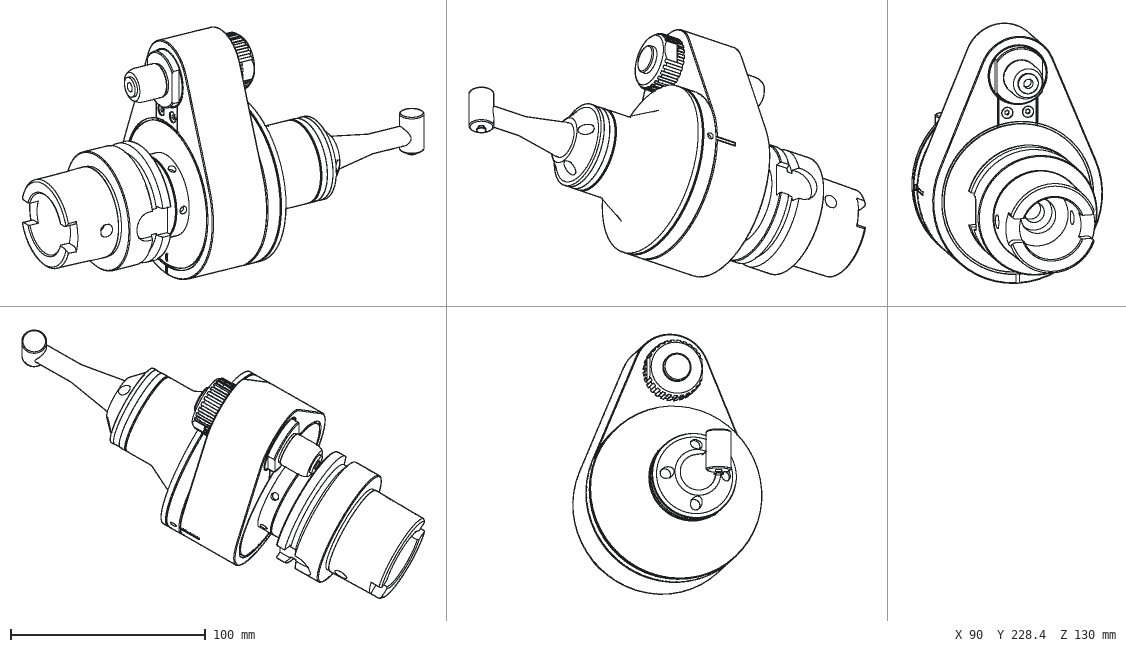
import cadquery as cq
import math


tail_y = -32.0
flange_rear_y = 26.0
case_front_y = 42.0
case_rear_y = 75.0
rim_rear_y = 86.3
nose_y = 139.2
head_y = 190.0

flange_radius = 31.5
groove_radius = 27.4
collar_radius = 22.0
collar_line_y = 34.2
line_width = 0.7
line_depth = 0.3
edge_chamfer = 0.5
wrench_hole_diameter = 4.0
wrench_hole_depth = 3.0
wrench_hole_count = 6
wrench_hole_y = 38.5
key_width = 18.0
narrow_key_width = 16.0
key_end_y = 4.6
key_flat_x = 26.5

taper_radius = 24.0
taper_end_radius = 23.5
taper_relief_length = 1.8
taper_relief_depth = 0.25
taper_end_chamfer = 1.1
mouth_radius = 17.0
mouth_chamfer = 0.7
straight_bore_depth = 12.5
floor_radius = 15.8
bore_bottom_y = -1.0
pocket_radius = 9.2
pocket_depth = 8.0
drill_radius = 5.2
drill_depth = 8.0
drill_point_height = 3.0
side_hole_diameter = 7.0
side_hole_y = -9.0
drive_slot_width = 12.4
drive_slot_depth = 5.8
drive_slot_flare = 2.4
drive_slot_flare_x = 19.6

case_radius = 45.0
arm_radius = 20.0
arm_height = 65.0
disc_radius = 39.0
disc_gap = 1.2
disc_gap_depth = 0.8
mark_width = 1.8
mark_depth = 0.6
side_mark_length = 11.7
disc_mark_inner = 33.2
disc_mark_outer = 37.5
rim_line_y = 83.2
rim_hole_diameter = 3.3
rim_hole_depth = 2.0
rim_hole_y = 78.8

body_radius = 22.0
body_step_y = 130.9
nose_radius = 12.0
nose_cone_radius = 20.0
body_line_y = 121.8
band_start_y = 125.5
band_end_y = 128.9
band_depth = 0.15
blend_start_y = 107.6
blend_end_y = 105.5
cone_angle = math.radians(26.5)
cone_foot_y = 89.0
foot_fillet = (cone_foot_y - rim_rear_y) / (1 - math.sin(cone_angle))
nose_hole_count = 4
nose_hole_diameter = 6.0
nose_hole_offset = 15.4
nose_hole_end_y = 130.0
output_root_radius = 9.25
output_tip_radius = 5.25
output_root_y = 140.4
output_taper_y = 164.8

cutter_head_radius = 6.4
cutter_head_top = 11.7
cutter_head_bottom = -8.7
cutter_head_chamfer = 0.6
stub_neck_radius = 1.65
stub_radius = 2.4
stub_rim_height = 0.8
stub_bottom = -10.8

block_radius = 15.0
block_flat_x = 12.0
block_front_y = 37.9
block_chamfer = 0.6
block_seat_depth = 0.5
block_seat_radius = 15.6
pin_radius = 9.0
pin_neck_radius = 8.5
pin_neck_length = 1.3
pin_shoulder_y = 25.4
pin_end_y = 21.1
pin_tip_radius = 5.25
pin_tip_y = 19.7
pin_nose_radius = 7.6
pin_hole_diameter = 4.8
pin_hole_depth = 4.0
plate_width = 20.4
plate_gap = 0.7
plate_gap_depth = 1.0
plate_screw_z = 45.1
plate_screw_x = 5.5
screw_head_diameter = 5.8
screw_socket_diameter = 2.5
screw_recess_depth = 0.6
screw_socket_depth = 1.5

knob_end_y = 86.9
knob_bevel_y = 84.6
knob_bevel_radius = 13.3
knob_cap_radius = 7.2
knob_cap_y = 89.6
knob_cap_chamfer = 0.6
knob_tooth_count = 28
knob_groove_width = 1.7
knob_groove_depth = 0.7
knob_flat_x = 13.7
knob_flat_y = 78.9
knob_flat_width = 13.5


def disc(radius, start_y, end_y, x=0.0, z=0.0):
    """Cylinder parallel to Y between two stations."""
    plane = cq.Plane(origin=(x, start_y, z), xDir=(1, 0, 0), normal=(0, 1, 0))
    return cq.Workplane(plane).circle(radius).extrude(end_y - start_y)


def tube(outer, inner, start_y, end_y):
    return disc(outer, start_y, end_y).cut(disc(inner, start_y, end_y))


def box(x_range, y_range, z_range):
    size = [end - start for start, end in (x_range, y_range, z_range)]
    middle = [(end + start) / 2 for start, end in (x_range, y_range, z_range)]
    return cq.Workplane("XY").box(*size).translate(tuple(middle))


def revolve(points):
    """Turned solid about Y from (radius, y) points."""
    return cq.Workplane("XY").polyline(points).close().revolve(360, (0, 0), (0, 1))


def turned_line(radius, middle_y):
    """Shallow ring to cut around a cylinder."""
    half = line_width / 2
    return tube(radius + 1, radius - line_depth, middle_y - half, middle_y + half)


def radial_hole(diameter, depth, y, surface_radius, angle):
    """Hole from the -X side toward the axis, turned about Y."""
    hole = (
        cq.Workplane(cq.Plane(origin=(-surface_radius - 1, y, 0), xDir=(0, 1, 0), normal=(1, 0, 0)))
        .circle(diameter / 2)
        .extrude(depth + 1)
    )
    return hole.rotate((0, 0, 0), (0, 1, 0), angle)


def shank_blank():
    groove_rear_top, groove_rear_bottom = 20.9, 19.4
    groove_front_bottom, groove_front_top = 16.6, 14.7
    relief_radius = taper_radius - taper_relief_depth
    return revolve([
        (0, tail_y),
        (taper_end_radius - taper_end_chamfer, tail_y),
        (taper_end_radius, tail_y + taper_end_chamfer),
        (taper_radius, -taper_relief_length),
        (relief_radius, -taper_relief_length),
        (relief_radius, 0),
        (flange_radius - edge_chamfer, 0),
        (flange_radius, edge_chamfer),
        (flange_radius, groove_front_top),
        (groove_radius, groove_front_bottom),
        (groove_radius, groove_rear_bottom),
        (flange_radius, groove_rear_top),
        (flange_radius, flange_rear_y - edge_chamfer),
        (flange_radius - edge_chamfer, flange_rear_y),
        (collar_radius, flange_rear_y),
        (collar_radius, case_front_y),
        (0, case_front_y),
    ])


def shank_bore():
    bore_radius = mouth_radius - mouth_chamfer
    pocket_end_y = bore_bottom_y + pocket_depth
    drill_end_y = pocket_end_y + drill_depth
    return revolve([
        (0, tail_y),
        (mouth_radius, tail_y),
        (bore_radius, tail_y + mouth_chamfer),
        (bore_radius, tail_y + straight_bore_depth),
        (floor_radius, bore_bottom_y),
        (pocket_radius, bore_bottom_y),
        (pocket_radius, pocket_end_y),
        (drill_radius, pocket_end_y),
        (drill_radius, drill_end_y),
        (0, drill_end_y + drill_point_height),
    ])


def drive_slots():
    """Slot across the open end, its walls rounded outward at the taper surface."""
    half = drive_slot_width / 2
    flare_x = drive_slot_flare_x + drive_slot_flare
    flare_half = half + drive_slot_flare
    outer_x = taper_radius + 2
    middle_x = drive_slot_flare_x + drive_slot_flare * math.sqrt(0.5)
    middle_half = half + drive_slot_flare * (1 - math.sqrt(0.5))
    plane = cq.Plane(origin=(0, tail_y, 0), xDir=(1, 0, 0), normal=(0, 1, 0))
    slot = (
        cq.Workplane(plane)
        .moveTo(0, -half)
        .lineTo(drive_slot_flare_x, -half)
        .threePointArc((middle_x, -middle_half), (flare_x, -flare_half))
        .lineTo(outer_x, -flare_half)
        .lineTo(outer_x, flare_half)
        .lineTo(flare_x, flare_half)
        .threePointArc((middle_x, middle_half), (drive_slot_flare_x, half))
        .lineTo(0, half)
        .close()
        .extrude(drive_slot_depth)
    )
    return slot.union(slot.mirror("YZ"))


def key_pocket(width):
    """Round-ended flat on the +X side of the flange."""
    half = width / 2
    arc_y = key_end_y + half
    pocket = box((key_flat_x, flange_radius + 1), (arc_y, flange_rear_y), (-half, half))
    round_end = (
        cq.Workplane(cq.Plane(origin=(key_flat_x, arc_y, 0), xDir=(0, 1, 0), normal=(1, 0, 0)))
        .circle(half)
        .extrude(flange_radius + 1 - key_flat_x)
    )
    return pocket.union(round_end)


def make_shank():
    side_hole = (
        cq.Workplane("YZ")
        .center(side_hole_y, 0)
        .circle(side_hole_diameter / 2)
        .extrude(taper_radius + 1, both=True)
    )
    shank = shank_blank().cut(shank_bore()).cut(drive_slots()).cut(side_hole)
    shank = shank.cut(key_pocket(narrow_key_width)).cut(key_pocket(key_width).mirror("YZ"))
    shank = shank.cut(turned_line(collar_radius, collar_line_y))
    for index in range(wrench_hole_count):
        angle = index * 360 / wrench_hole_count
        shank = shank.cut(
            radial_hole(wrench_hole_diameter, wrench_hole_depth, wrench_hole_y, collar_radius, angle)
        )
    return shank


def case_blank():
    """Teardrop case: two circles joined by their outer tangents."""
    lean = (case_radius - arm_radius) / arm_height
    spread = math.sqrt(1 - lean ** 2)
    low_x, low_z = case_radius * spread, case_radius * lean
    high_x, high_z = arm_radius * spread, arm_height + arm_radius * lean
    plane = cq.Plane(origin=(0, case_rear_y, 0), xDir=(1, 0, 0), normal=(0, -1, 0))
    return (
        cq.Workplane(plane)
        .moveTo(low_x, low_z)
        .lineTo(high_x, high_z)
        .threePointArc((0, arm_height + arm_radius), (-high_x, high_z))
        .lineTo(-low_x, low_z)
        .threePointArc((0, -case_radius), (low_x, low_z))
        .close()
        .extrude(case_rear_y - case_front_y)
        .faces("<Y or >Y")
        .chamfer(edge_chamfer)
    )


def head_blank():
    """Rim, flared body and nose, turned about the spindle axis."""
    blend_radius = body_radius + (blend_start_y - blend_end_y) * math.tan(cone_angle / 2)
    foot_radius = blend_radius + (blend_end_y - cone_foot_y) * math.tan(cone_angle)
    flare_radius = foot_radius + foot_fillet * math.cos(cone_angle)
    cone_rise = nose_cone_radius - nose_radius
    return (
        cq.Workplane("XY")
        .moveTo(0, case_rear_y)
        .lineTo(case_radius - edge_chamfer, case_rear_y)
        .lineTo(case_radius, case_rear_y + edge_chamfer)
        .lineTo(case_radius, rim_rear_y)
        .lineTo(flare_radius, rim_rear_y)
        .tangentArcPoint((foot_radius, cone_foot_y), relative=False)
        .lineTo(blend_radius, blend_end_y)
        .tangentArcPoint((body_radius, blend_start_y), relative=False)
        .lineTo(body_radius, body_step_y)
        .lineTo(nose_cone_radius, nose_y - cone_rise)
        .lineTo(nose_radius, nose_y)
        .lineTo(0, nose_y)
        .close()
        .revolve(360, (0, 0), (0, 1))
    )


def output_arm():
    """Tapered arm that carries the cutter head."""
    return revolve([
        (0, nose_y),
        (output_root_radius, nose_y),
        (output_root_radius, output_root_y),
        (output_tip_radius, output_taper_y),
        (output_tip_radius, head_y),
        (0, head_y),
    ])


def cutter_head():
    def cylinder(radius, bottom, top):
        return (
            cq.Workplane("XY", origin=(0, head_y, bottom))
            .circle(radius)
            .extrude(top - bottom)
        )

    head = cylinder(cutter_head_radius, cutter_head_bottom, cutter_head_top)
    head = head.faces("<Z or >Z").chamfer(cutter_head_chamfer)
    neck = cylinder(stub_neck_radius, stub_bottom, cutter_head_bottom)
    rim = cylinder(stub_radius, stub_bottom, stub_bottom + stub_rim_height)
    return head.union(neck).union(rim)


def nose_holes():
    """Holes parallel to the axis, breaking out of the nose cone."""
    holes = cq.Workplane("XY")
    for index in range(nose_hole_count):
        angle = index * 2 * math.pi / nose_hole_count
        x = nose_hole_offset * math.cos(angle)
        z = nose_hole_offset * math.sin(angle)
        holes = holes.add(disc(nose_hole_diameter / 2, nose_hole_end_y, nose_y + 1, x, z))
    return holes.combine()


def index_marks():
    """Alignment grooves on the case side, the case front and the front disc."""
    half = mark_width / 2
    side = box(
        (-case_radius - 1, -case_radius + mark_depth),
        (case_rear_y - side_mark_length, case_rear_y),
        (-half, half),
    )
    front_range = (case_front_y, case_front_y + mark_depth)
    front = box((-half, half), front_range, (-case_radius - 1, -disc_radius - disc_gap / 2))
    on_disc = box((-half, half), front_range, (half - disc_mark_outer, -disc_mark_inner - half))
    for z in (half - disc_mark_outer, -disc_mark_inner - half):
        on_disc = on_disc.union(disc(half, *front_range, z=z))
    return side.union(front).union(on_disc)


def locating_pin():
    """Flat-sided block on the case front with the pin standing out of it."""
    block = disc(block_radius, block_front_y, case_front_y + block_seat_depth, z=arm_height)
    block = block.faces("<Y").chamfer(block_chamfer)
    flat = box(
        (block_flat_x, block_radius + 1),
        (block_front_y, case_front_y),
        (arm_height - block_radius, arm_height + block_radius),
    )
    block = block.cut(flat).cut(flat.mirror("YZ"))
    neck_y = block_front_y - pin_neck_length
    pin = (
        cq.Workplane("XY")
        .moveTo(0, block_front_y)
        .lineTo(pin_neck_radius, block_front_y)
        .lineTo(pin_neck_radius, neck_y)
        .lineTo(pin_radius, neck_y)
        .lineTo(pin_radius, pin_shoulder_y)
        .tangentArcPoint((pin_nose_radius, pin_end_y), relative=False)
        .lineTo(pin_tip_radius, pin_end_y)
        .lineTo(pin_tip_radius, pin_tip_y)
        .lineTo(0, pin_tip_y)
        .close()
        .revolve(360, (0, 0), (0, 1))
        .translate((0, 0, arm_height))
    )
    pin = pin.cut(disc(pin_hole_diameter / 2, pin_tip_y, pin_tip_y + pin_hole_depth, z=arm_height))
    return block.union(pin)


def knob():
    """Knurled knob behind the case, with a flat on each side and a round cap."""
    body = revolve([
        (0, case_rear_y),
        (block_radius, case_rear_y),
        (block_radius, knob_bevel_y),
        (knob_bevel_radius, knob_end_y),
        (knob_cap_radius, knob_end_y),
        (knob_cap_radius, knob_cap_y - knob_cap_chamfer),
        (knob_cap_radius - knob_cap_chamfer, knob_cap_y),
        (0, knob_cap_y),
    ])
    half_groove = knob_groove_width / 2
    groove = box(
        (block_radius - knob_groove_depth, block_radius + 1),
        (case_rear_y, knob_end_y),
        (-half_groove, half_groove),
    )
    for index in range(knob_tooth_count):
        body = body.cut(groove.rotate((0, 0, 0), (0, 1, 0), index * 360 / knob_tooth_count))
    half_flat = knob_flat_width / 2
    flat = box((knob_flat_x, block_radius + 1), (knob_flat_y, knob_end_y), (-half_flat, half_flat))
    body = body.cut(flat).cut(flat.mirror("YZ"))
    return body.translate((0, 0, arm_height))


def plate_outline():
    """Gaps beside the plate below the pin block, and its two socket screws."""
    half = plate_width / 2
    cuts = cq.Workplane("XY")
    for side in (-1, 1):
        slit = box(
            (side * half - plate_gap / 2, side * half + plate_gap / 2),
            (case_front_y, case_front_y + plate_gap_depth),
            (0, arm_height),
        )
        cuts = cuts.add(slit.cut(disc(disc_radius, case_front_y, case_rear_y)))
        recess_y = case_front_y + screw_recess_depth
        x = side * plate_screw_x
        cuts = cuts.add(disc(screw_head_diameter / 2, case_front_y, recess_y, x, plate_screw_z))
        socket_plane = cq.Plane(origin=(x, recess_y, plate_screw_z), xDir=(0, 0, 1), normal=(0, 1, 0))
        cuts = cuts.add(
            cq.Workplane(socket_plane).polygon(6, screw_socket_diameter).extrude(screw_socket_depth)
        )
    return cuts.combine()


def make_angle_head():
    head = case_blank().union(head_blank()).union(output_arm()).union(cutter_head())
    head = head.cut(tube(disc_radius + disc_gap, disc_radius, case_front_y, case_front_y + disc_gap_depth))
    head = head.cut(index_marks())
    head = head.cut(turned_line(case_radius, rim_line_y))
    head = head.cut(turned_line(body_radius, body_line_y))
    head = head.cut(tube(body_radius + 1, body_radius - band_depth, band_start_y, band_end_y))
    head = head.cut(radial_hole(rim_hole_diameter, rim_hole_depth, rim_hole_y, case_radius, 0))
    head = head.cut(nose_holes())
    head = head.cut(plate_outline())
    head = head.cut(disc(block_seat_radius, case_front_y, case_front_y + block_seat_depth, z=arm_height))
    return head.union(locating_pin()).union(knob())


shank = make_shank()
angle_head = make_angle_head()

result = cq.Compound.makeCompound([shank.val(), angle_head.val()])